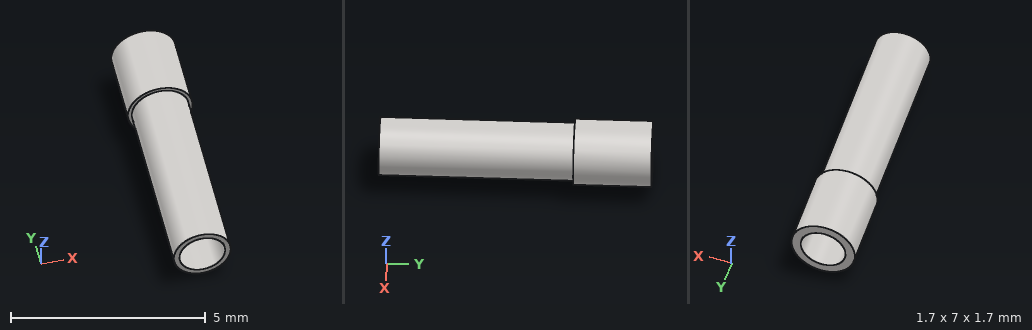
import cadquery as cq

total_length = 7.0
head_length = 2.0
head_diameter = 1.7
body_diameter = 1.5
bore_diameter = 1.2


def cylinder_along_y(diameter, start_y, length):
    """Solid cylinder centred on the Y axis, running from start_y toward +Y."""
    base = cq.Workplane("XZ", origin=(0, start_y, 0))
    return base.circle(diameter / 2).extrude(-length)


body = cylinder_along_y(body_diameter, 0, total_length)
head = cylinder_along_y(head_diameter, total_length - head_length, head_length)
bore = cylinder_along_y(bore_diameter, 0, total_length)

result = body.union(head).cut(bore)